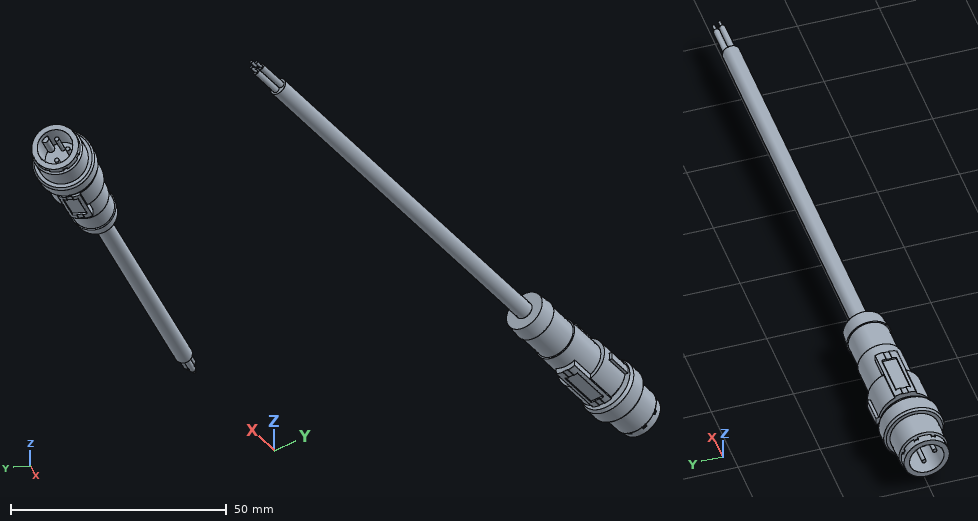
import cadquery as cq
import math

TOTAL_LENGTH = 156.8
RING_RADIUS = 14.79 / 2

GROOVE_START = 2.0
NOSE_END = 2.4
SLEEVE_END = 9.1
RING_END = 14.4
NECK_END = 15.8
BODY_END = 24.2
GRIP_STEP = 34.8
COLLAR_START = 43.1
COLLAR_END = 47.2
STRIPPED_CONDUCTOR = 2.0
STRIPPED_WIRE = 8.1
WIRE_END = TOTAL_LENGTH - STRIPPED_CONDUCTOR
CABLE_END = WIRE_END - STRIPPED_WIRE

NOSE_RADIUS = 5.55
GROOVE_RADIUS = 5.1
SLEEVE_RADIUS = 6.0
RING_EDGE_RADIUS = 6.9
RING_FRONT_BEVEL = 0.5
RING_REAR_BEVEL = 0.9
NECK_RADIUS = 4.7
BODY_RADIUS = 6.6
GRIP_RADIUS = 5.55
GRIP_REAR_RADIUS = 5.15
COLLAR_RADIUS = 5.5
COLLAR_END_RADIUS = 5.1
CABLE_RADIUS = 2.2

SOCKET_RADIUS = 4.2
SOCKET_DEPTH = 9.0
PIN_RADIUS = 0.5
PIN_CIRCLE_RADIUS = 2.6
PIN_TIP = 2.0
PIN_ANGLES = (90, 180, 270)
KEY_RADIUS = 0.9
KEY_CIRCLE_RADIUS = 4.0
KEY_TIP = 2.0
KEY_ANGLE = 45

NOTCH_LENGTH = 0.6
NOTCH_WIDTH = 1.0
NOTCH_DEPTH = 0.4
NOTCH_COUNT = 8

RIB_END = 30.6
RIB_WIDTH = 5.3
RIB_RADIUS = 7.0
POCKET_START = 17.7
POCKET_END = 28.2
POCKET_WIDTH = 3.5
POCKET_FLOOR = 6.4
CHANNEL_WIDTH = 1.4
CHANNEL_FLOOR = 6.8

MARKER_END = 22.2
MARKER_WIDTH = 2.0
MARKER_HEIGHT = 7.3

WIRE_RADIUS = 0.8
WIRE_CIRCLE_RADIUS = 0.95
CONDUCTOR_RADIUS = 0.4
WIRE_ANGLES = (0, 120, 240)

EMBED = 1.0


def rod(start, end, radius, y=0.0, z=0.0):
    """Cylinder along X between two stations."""
    return cq.Workplane("YZ", origin=(start, y, z)).circle(radius).extrude(end - start)


def block(x_range, y_range, z_range):
    """Box given by its limits along each axis."""
    limits = (x_range, y_range, z_range)
    size = [high - low for low, high in limits]
    corner = tuple(low for low, high in limits)
    return cq.Workplane("XY").box(*size, centered=False).translate(corner)


def around_axis(shape, angle):
    """Turn a shape about the X axis, +Y towards +Z."""
    return shape.rotate((0, 0, 0), (1, 0, 0), angle)


def polar(radius, angle):
    """Y and Z of a point on a circle about the X axis."""
    turn = math.radians(angle)
    return radius * math.cos(turn), radius * math.sin(turn)


def turned_shell():
    profile = [
        (0, 0),
        (0, NOSE_RADIUS),
        (GROOVE_START, NOSE_RADIUS),
        (GROOVE_START, GROOVE_RADIUS),
        (NOSE_END, SLEEVE_RADIUS),
        (SLEEVE_END, SLEEVE_RADIUS),
        (SLEEVE_END, RING_EDGE_RADIUS),
        (SLEEVE_END + RING_FRONT_BEVEL, RING_RADIUS),
        (RING_END - RING_REAR_BEVEL, RING_RADIUS),
        (RING_END, RING_EDGE_RADIUS),
        (RING_END, NECK_RADIUS),
        (NECK_END, NECK_RADIUS),
        (NECK_END, BODY_RADIUS),
        (BODY_END, BODY_RADIUS),
        (BODY_END, GRIP_RADIUS),
        (GRIP_STEP, GRIP_RADIUS),
        (GRIP_STEP, GRIP_REAR_RADIUS),
        (COLLAR_START, GRIP_REAR_RADIUS),
        (COLLAR_START, COLLAR_RADIUS),
        (COLLAR_END, COLLAR_END_RADIUS),
        (COLLAR_END, CABLE_RADIUS),
        (CABLE_END, CABLE_RADIUS),
        (CABLE_END, 0),
    ]
    return cq.Workplane("XY").polyline(profile).close().revolve(360, (0, 0, 0), (1, 0, 0))


def nose_notches():
    """Shallow, evenly spaced notches, straddling the Y and Z axes."""
    notch = block(
        (GROOVE_START - NOTCH_LENGTH, GROOVE_START),
        (NOSE_RADIUS - NOTCH_DEPTH, NOSE_RADIUS + NOTCH_DEPTH),
        (-NOTCH_WIDTH / 2, NOTCH_WIDTH / 2),
    )
    notches = cq.Workplane("XY")
    spacing = 360 / NOTCH_COUNT
    for index in range(NOTCH_COUNT):
        notches = notches.add(around_axis(notch, (index + 0.5) * spacing))
    return notches.combine()


def pins():
    group = cq.Workplane("XY")
    for angle in PIN_ANGLES:
        y, z = polar(PIN_CIRCLE_RADIUS, angle)
        group = group.add(rod(PIN_TIP, SOCKET_DEPTH + EMBED, PIN_RADIUS, y, z))
    return group.combine()


def coding_key():
    """Round bar along the socket wall, half sunk into it."""
    y, z = polar(KEY_CIRCLE_RADIUS, KEY_ANGLE)
    return rod(KEY_TIP, SOCKET_DEPTH + EMBED, KEY_RADIUS, y, z)


def label_rib():
    """Crowned rib on +Z with a label pocket and a shallow channel along its crest."""
    half = RIB_WIDTH / 2
    rib = rod(NECK_END, RIB_END, RIB_RADIUS).intersect(
        block((NECK_END, RIB_END), (-half, half), (0, RIB_RADIUS))
    )
    pocket = block(
        (POCKET_START, POCKET_END),
        (-POCKET_WIDTH / 2, POCKET_WIDTH / 2),
        (POCKET_FLOOR, RIB_RADIUS),
    )
    channel = block(
        (NECK_END, RIB_END),
        (-CHANNEL_WIDTH / 2, CHANNEL_WIDTH / 2),
        (CHANNEL_FLOOR, RIB_RADIUS),
    )
    return rib, pocket.union(channel)


def marker():
    return block(
        (NECK_END, MARKER_END),
        (BODY_RADIUS - EMBED, MARKER_HEIGHT),
        (-MARKER_WIDTH / 2, MARKER_WIDTH / 2),
    )


def wires():
    group = cq.Workplane("XY")
    for angle in WIRE_ANGLES:
        y, z = polar(WIRE_CIRCLE_RADIUS, angle)
        wire = rod(CABLE_END - EMBED, WIRE_END, WIRE_RADIUS, y, z)
        conductor = rod(WIRE_END - EMBED, TOTAL_LENGTH, CONDUCTOR_RADIUS, y, z)
        group = group.add(wire.union(conductor))
    return group.combine()


shell = turned_shell().cut(rod(0, SOCKET_DEPTH, SOCKET_RADIUS)).cut(nose_notches())
shell = shell.union(pins()).union(coding_key()).union(marker())

top_rib, top_recess = label_rib()
for rib_turn in (0, 180):
    shell = shell.union(around_axis(top_rib, rib_turn)).cut(around_axis(top_recess, rib_turn))

result = shell.union(wires())